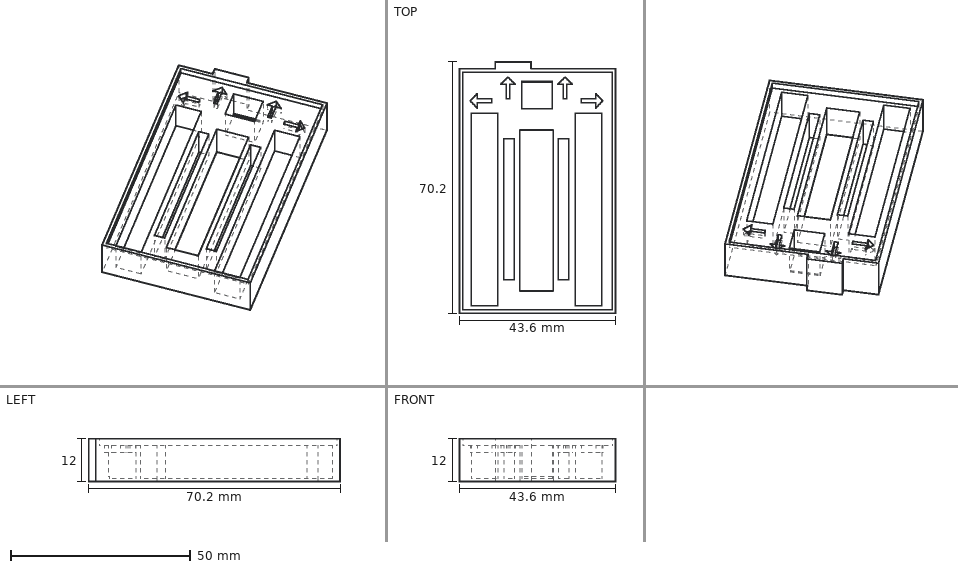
import cadquery as cq

body_width = 43.6
total_length = 70.2
body_height = 12.0
tab_length = 1.9
body_length = total_length - tab_length

rim_width = 1.0
rim_height = 1.9
deck_height = body_height - rim_height

tab_left = 10.0
tab_width = 10.05

floor_thickness = 1.0

side_pocket_lefts = (3.3, 32.3)
side_pocket_front = 2.2
side_pocket_width = 7.45
side_pocket_length = 53.7

slot_lefts = (12.35, 27.6)
slot_front = 9.35
slot_width = 2.95
slot_length = 39.45

window_left = 16.85
window_front = 6.25
window_width = 9.35
window_length = 44.9

square_left = 17.35
square_front = 57.1
square_width = 8.6
square_length = 7.65
ledge_depth = 0.2
ledge_height = 0.5

arrow_length = 6.05
arrow_head_length = 2.0
arrow_head_width = 4.1
arrow_shaft_width = 1.05
arrow_depth = 2.0
back_arrow_centers = (13.55, 29.5)
back_arrow_tip = 65.9
side_arrow_center = 59.3
left_arrow_tip = 3.0
right_arrow_tip = 40.0


def block(left, front, bottom, width, length, top):
    """Box given by its lower corner, its plan size and its top height."""
    return cq.Workplane("XY").box(width, length, top - bottom, centered=False).translate((left, front, bottom))


def arrow(tip_x, tip_y, turn):
    """Arrow cutter pointing to +Y, turned about its tip by the given angle in degrees."""
    half_head = arrow_head_width / 2
    half_shaft = arrow_shaft_width / 2
    outline = [
        (0, 0),
        (half_head, -arrow_head_length),
        (half_shaft, -arrow_head_length),
        (half_shaft, -arrow_length),
        (-half_shaft, -arrow_length),
        (-half_shaft, -arrow_head_length),
        (-half_head, -arrow_head_length),
    ]
    cutter = cq.Workplane("XY").polyline(outline).close().extrude(arrow_depth)
    cutter = cutter.rotate((0, 0, 0), (0, 0, 1), turn)
    return cutter.translate((tip_x, tip_y, deck_height - arrow_depth))


result = block(0, 0, 0, body_width, body_length, body_height)
result = result.union(block(tab_left, body_length, 0, tab_width, tab_length, body_height))

recess_width = body_width - 2 * rim_width
recess_length = body_length - 2 * rim_width
result = result.cut(block(rim_width, rim_width, deck_height, recess_width, recess_length, body_height))

for left in side_pocket_lefts:
    result = result.cut(
        block(left, side_pocket_front, floor_thickness, side_pocket_width, side_pocket_length, deck_height)
    )
for left in slot_lefts:
    result = result.cut(block(left, slot_front, floor_thickness, slot_width, slot_length, deck_height))

result = result.cut(block(window_left, window_front, 0, window_width, window_length, deck_height))

result = result.cut(
    block(square_left, square_front, floor_thickness, square_width, square_length, deck_height)
)
ledge_front = square_front + square_length - ledge_depth
ledge_top = floor_thickness + ledge_height
result = result.union(block(square_left, ledge_front, floor_thickness, square_width, ledge_depth, ledge_top))

for center in back_arrow_centers:
    result = result.cut(arrow(center, back_arrow_tip, 0))
result = result.cut(arrow(left_arrow_tip, side_arrow_center, 90))
result = result.cut(arrow(right_arrow_tip, side_arrow_center, -90))